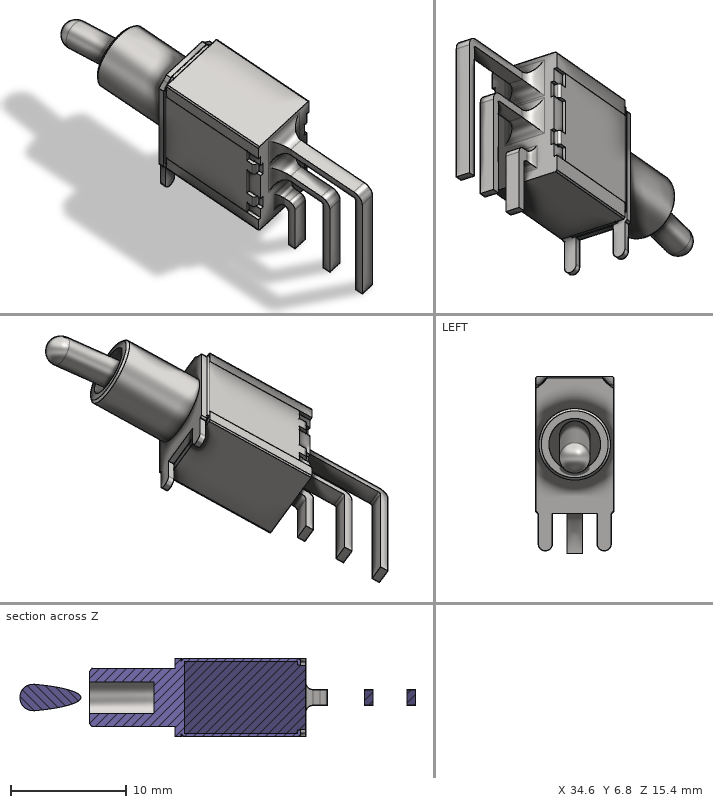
import cadquery as cq
import math


WIDTH = 6.8
HALF_WIDTH = WIDTH / 2
CASE_HALF_HEIGHT = 5.9

PLATE_THICKNESS = 0.55
PLATE_TOP = 5.78
PLATE_CORNER_TOP = 1.0
PLATE_CORNER_MID = 0.65
PLATE_CORNER_MID_Z = 5.33
PLATE_CORNER_LOW_Z = 4.85
PLATE_BOTTOM = -6.02
PLATE_BOTTOM_CHAMFER = 0.17
LEG_WIDTH = 1.25
LEG_CENTER_Y = 2.55
LEG_BOTTOM = -9.27

SHEET = 0.3
BEND_RADIUS = 0.28
BEND_HALF_HEIGHT = 5.15
WEB_CORNER_TOP = 1.07
WEB_CORNER_SIDE = 0.35
PANEL_HALF_HEIGHT = 4.32
WINDOW_LENGTH = 1.3
TAB_INNER_Z = 1.63
TAB_OUTER_Z = 2.97
TAB_SETBACK = 0.45
TAB_REACH = 0.62
TAB_CLEARANCE = 0.1

BUSHING_DIAMETER = 6.23
BUSHING_LENGTH = 7.45
BUSHING_CHAMFER = 0.2
BORE_DIAMETER = 4.5
BORE_DEPTH = 5.6

LEVER_DIAMETER = 2.65
LEVER_TILT = 10.0
LEVER_TIP_X = -13.65
LEVER_PIVOT_X = -5.65

CASE_FRONT = PLATE_THICKNESS + SHEET
CASE_BACK = 11.38
CASE_EDGE_CHAMFER = 0.15

TERMINAL_WIDTH = 1.4
TERMINAL_THICKNESS = 0.75
LOW_TERMINAL_THICKNESS = 1.05
LOW_TERMINAL_Z = -3.87
TERMINAL_BOTTOM = -9.5
TERMINAL_PITCH = 3.75
ROOT_SLACK = 0.05
TERMINALS = [
    (TERMINAL_PITCH, TERMINAL_THICKNESS, 20.93, 0.97, 0.2, 1.4),
    (0.0, TERMINAL_THICKNESS, 17.23, 0.97, 0.2, 1.4),
    (LOW_TERMINAL_Z, LOW_TERMINAL_THICKNESS, 13.25, 0.65, 0.45, 0.62),
]


def box(x_range, y_range, z_range):
    """Block spanning the given ranges."""
    sizes = [high - low for low, high in (x_range, y_range, z_range)]
    corner = (x_range[0], y_range[0], z_range[0])
    return cq.Workplane("XY").box(*sizes, centered=False).translate(corner)


def side_span(side, depth):
    """Y range from the outer face on one side to a depth below it."""
    return sorted((side * HALF_WIDTH, side * (HALF_WIDTH - depth)))


def extrude_symmetric(half_outline, x_start, thickness):
    """Plate normal to X from the +Y half of an outline, mirrored about Y = 0."""
    mirrored = [(-y, z) for y, z in reversed(half_outline)]
    return (
        cq.Workplane("YZ", origin=(x_start, 0, 0))
        .polyline(half_outline + mirrored).close().extrude(thickness)
    )


def make_bushing():
    """Chamfered sleeve with a blind bore for the lever."""
    bushing = (
        cq.Workplane("YZ").circle(BUSHING_DIAMETER / 2).extrude(-BUSHING_LENGTH)
        .faces("<X").chamfer(BUSHING_CHAMFER)
    )
    bore = (
        cq.Workplane("YZ", origin=(-BUSHING_LENGTH, 0, 0))
        .circle(BORE_DIAMETER / 2).extrude(BORE_DEPTH)
    )
    return bushing.cut(bore)


def make_mounting_plate():
    """Front plate with cut upper corners and two round-ended solder legs."""
    half_outline = [
        (HALF_WIDTH - PLATE_CORNER_TOP, PLATE_TOP),
        (HALF_WIDTH - PLATE_CORNER_MID, PLATE_CORNER_MID_Z),
        (HALF_WIDTH, PLATE_CORNER_LOW_Z),
        (HALF_WIDTH, PLATE_BOTTOM + PLATE_BOTTOM_CHAMFER),
        (HALF_WIDTH - PLATE_BOTTOM_CHAMFER, PLATE_BOTTOM),
    ]
    plate = extrude_symmetric(half_outline, 0, PLATE_THICKNESS)
    leg_radius = LEG_WIDTH / 2
    for side in (-1, 1):
        center = side * LEG_CENTER_Y
        leg = (
            cq.Workplane("YZ")
            .moveTo(center - leg_radius, PLATE_BOTTOM)
            .lineTo(center - leg_radius, LEG_BOTTOM + leg_radius)
            .threePointArc((center, LEG_BOTTOM), (center + leg_radius, LEG_BOTTOM + leg_radius))
            .lineTo(center + leg_radius, PLATE_BOTTOM)
            .close().extrude(PLATE_THICKNESS)
        )
        plate = plate.union(leg)
    return plate


def make_web():
    """Front wall of the cradle, with cut corners and rounded bends at the sides."""
    corner = [
        (HALF_WIDTH - WEB_CORNER_TOP, CASE_HALF_HEIGHT),
        (HALF_WIDTH - WEB_CORNER_SIDE, BEND_HALF_HEIGHT),
        (HALF_WIDTH, BEND_HALF_HEIGHT),
    ]
    half_outline = corner + [(y, -z) for y, z in reversed(corner)]
    web = extrude_symmetric(half_outline, PLATE_THICKNESS, SHEET)
    return web.edges("<X and (<Y or >Y)").fillet(BEND_RADIUS)


def make_side_panel(side):
    """Side wall of the cradle, ending in two tabs bent into the case."""
    tab_back = CASE_BACK - TAB_SETBACK
    panel = box(
        (CASE_FRONT, tab_back),
        side_span(side, SHEET),
        (-PANEL_HALF_HEIGHT, PANEL_HALF_HEIGHT),
    )
    panel = panel.union(box(
        (tab_back - SHEET, tab_back),
        side_span(side, TAB_REACH),
        (-PANEL_HALF_HEIGHT, PANEL_HALF_HEIGHT),
    ))
    bend_edge = ">X and <Y" if side < 0 else ">X and >Y"
    panel = panel.edges(bend_edge).fillet(BEND_RADIUS)
    window_zones = (
        (-PANEL_HALF_HEIGHT, -TAB_OUTER_Z),
        (-TAB_INNER_Z, TAB_INNER_Z),
        (TAB_OUTER_Z, PANEL_HALF_HEIGHT),
    )
    for z_range in window_zones:
        window = box((CASE_BACK - WINDOW_LENGTH, CASE_BACK), side_span(side, TAB_REACH), z_range)
        panel = panel.cut(window)
    return panel


def make_frame():
    """Mounting plate, bushing and the cradle that holds the case, as one part."""
    frame = make_mounting_plate().union(make_bushing()).union(make_web())
    for side in (-1, 1):
        frame = frame.union(make_side_panel(side))
    return frame


def make_lever():
    """Tilted round-nosed lever whose lower end rests on the floor of the bore."""
    radius = LEVER_DIAMETER / 2
    nose_length = (LEVER_PIVOT_X - LEVER_TIP_X - radius) / math.cos(math.radians(LEVER_TILT))
    floor_x = BORE_DEPTH - BUSHING_LENGTH
    lever = (
        cq.Workplane("YZ", origin=(-nose_length, 0, 0))
        .circle(radius).extrude(nose_length + BUSHING_LENGTH)
        .union(cq.Workplane("XY").sphere(radius).translate((-nose_length, 0, 0)))
        .rotate((0, 0, 0), (0, 1, 0), -LEVER_TILT)
        .translate((LEVER_PIVOT_X, 0, 0))
    )
    beyond_floor = box(
        (floor_x, floor_x + 2 * BUSHING_LENGTH),
        (-HALF_WIDTH, HALF_WIDTH),
        (-CASE_HALF_HEIGHT, CASE_HALF_HEIGHT),
    )
    return lever.cut(beyond_floor)


def make_case_block():
    """Body with a shallow recess for each side panel and slots for the bent tabs."""
    case = box(
        (CASE_FRONT, CASE_BACK),
        (-HALF_WIDTH, HALF_WIDTH),
        (-CASE_HALF_HEIGHT, CASE_HALF_HEIGHT),
    ).edges("|X").chamfer(CASE_EDGE_CHAMFER)
    for side in (-1, 1):
        case = case.cut(box(
            (CASE_FRONT, CASE_BACK),
            side_span(side, SHEET),
            (-PANEL_HALF_HEIGHT, PANEL_HALF_HEIGHT),
        ))
        for end in (-1, 1):
            tab_slot = box(
                (CASE_BACK - TAB_SETBACK - SHEET, CASE_BACK),
                side_span(side, TAB_REACH),
                sorted((end * TAB_INNER_Z, end * (TAB_OUTER_Z + TAB_CLEARANCE))),
            )
            case = case.cut(tab_slot)
    return case


def make_terminal(height, thickness, outer_x, outer_radius, inner_radius):
    """Flat strip running out of the case and bent down through a right angle."""
    top = height + thickness / 2
    bottom = top - thickness
    inner_x = outer_x - TERMINAL_THICKNESS
    strip = (
        cq.Workplane("XZ")
        .polyline([
            (CASE_BACK, bottom), (CASE_BACK, top), (outer_x, top),
            (outer_x, TERMINAL_BOTTOM), (inner_x, TERMINAL_BOTTOM), (inner_x, bottom),
        ])
        .close().extrude(TERMINAL_WIDTH / 2, both=True)
    )
    outer_bend = cq.selectors.NearestToPointSelector((outer_x, 0, top))
    inner_bend = cq.selectors.NearestToPointSelector((inner_x, 0, bottom))
    strip = strip.edges("|Y").edges(outer_bend).fillet(outer_radius)
    return strip.edges("|Y").edges(inner_bend).fillet(inner_radius)


def make_case():
    """Case block with its three terminals, each flared where it leaves the back."""
    case = make_case_block()
    for height, thickness, outer_x, outer_radius, inner_radius, flare_radius in TERMINALS:
        terminal = make_terminal(height, thickness, outer_x, outer_radius, inner_radius)
        case = case.union(terminal)
        root_zone = cq.selectors.BoxSelector(
            (CASE_BACK - ROOT_SLACK, -TERMINAL_WIDTH, height - thickness),
            (CASE_BACK + ROOT_SLACK, TERMINAL_WIDTH, height + thickness),
        )
        case = case.edges(root_zone).fillet(flare_radius)
    return case


frame = make_frame()
lever = make_lever()
case = make_case()

result = cq.Compound.makeCompound([frame.val(), lever.val(), case.val()])